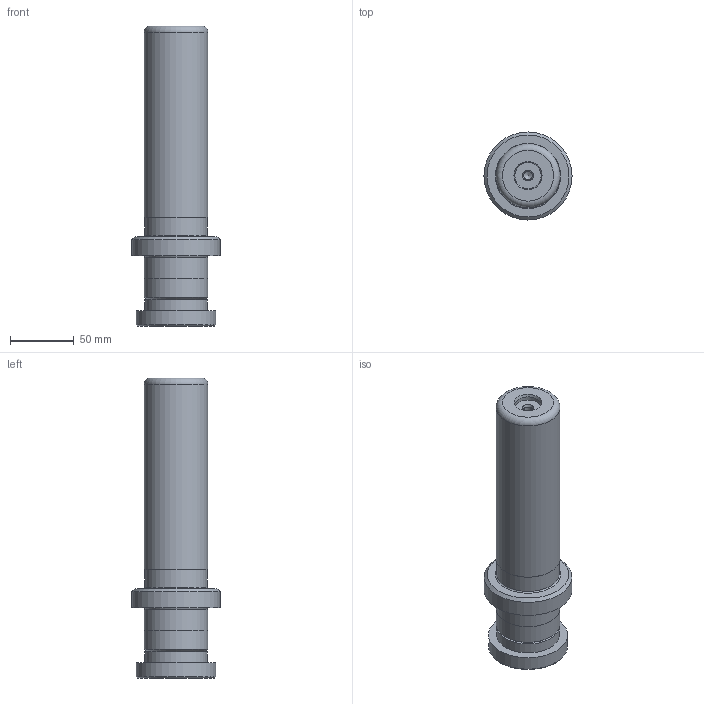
import cadquery as cq
import math

total_height = 235.0

foot_radius = 31.0
foot_height = 12.0
foot_chamfer = 1.0
spigot_radius = 24.5
spigot_top = 20.5

pin_radius = 25.0
pin_end_chamfer_height = 2.0
pin_end_chamfer_width = 2.5
fit_height = 37.5
fit_clearance = 0.05
relief_radius = 24.5
relief_height = 1.5
collar_radius = 34.5
collar_bottom = 55.0
collar_height = 15.0
collar_chamfer = 2.4
neck_radius = 24.5
neck_top = 85.0
corner_fillet = 1.0
top_fillet = 5.0

recess_radius = 10.3
recess_mouth_radius = 11.0
recess_depth = 5.0
hole_radius = 3.4
hole_mouth_radius = 4.2
hole_depth = 20.0
mouth_depth = 2.0
drill_tip_angle = 118.0


def revolve_about_axis(outline):
    """Turn a closed (radius, height) outline drawn on XZ about the Z axis."""
    return outline.close().revolve(360, (0, 0, 0), (0, 1, 0))


def make_base_ring():
    outline = (
        cq.Workplane("XZ")
        .lineTo(foot_radius - foot_chamfer, 0)
        .lineTo(foot_radius, foot_chamfer)
        .lineTo(foot_radius, foot_height)
        .lineTo(spigot_radius, foot_height)
        .lineTo(spigot_radius, spigot_top)
        .lineTo(0, spigot_top)
    )
    return revolve_about_axis(outline)


def make_pin_blank():
    collar_top = collar_bottom + collar_height
    fit_radius = pin_radius - fit_clearance
    outline = (
        cq.Workplane("XZ")
        .moveTo(0, spigot_top)
        .lineTo(fit_radius - pin_end_chamfer_width, spigot_top)
        .lineTo(fit_radius, spigot_top + pin_end_chamfer_height)
        .lineTo(fit_radius, fit_height)
        .lineTo(pin_radius, fit_height)
        .lineTo(pin_radius, collar_bottom - relief_height)
        .lineTo(relief_radius, collar_bottom - relief_height)
        .lineTo(relief_radius, collar_bottom - corner_fillet)
        .radiusArc((relief_radius + corner_fillet, collar_bottom), corner_fillet)
        .lineTo(collar_radius, collar_bottom)
        .lineTo(collar_radius, collar_top - collar_chamfer)
        .lineTo(collar_radius - collar_chamfer, collar_top)
        .lineTo(neck_radius + corner_fillet, collar_top)
        .radiusArc((neck_radius, collar_top + corner_fillet), corner_fillet)
        .lineTo(neck_radius, neck_top)
        .lineTo(pin_radius, neck_top)
        .lineTo(pin_radius, total_height - top_fillet)
        .radiusArc((pin_radius - top_fillet, total_height), -top_fillet)
        .lineTo(0, total_height)
    )
    return revolve_about_axis(outline)


def make_centre_hole():
    floor = total_height - recess_depth
    hole_bottom = floor - hole_depth
    tip_depth = hole_radius / math.tan(math.radians(drill_tip_angle / 2))
    outline = (
        cq.Workplane("XZ")
        .moveTo(0, total_height)
        .lineTo(recess_mouth_radius, total_height)
        .lineTo(recess_radius, total_height - mouth_depth)
        .lineTo(recess_radius, floor)
        .lineTo(hole_mouth_radius, floor)
        .lineTo(hole_radius, floor - mouth_depth)
        .lineTo(hole_radius, hole_bottom)
        .lineTo(0, hole_bottom - tip_depth)
    )
    return revolve_about_axis(outline)


base_ring = make_base_ring()
guide_pin = make_pin_blank().cut(make_centre_hole())

result = cq.Compound.makeCompound([base_ring.val(), guide_pin.val()])